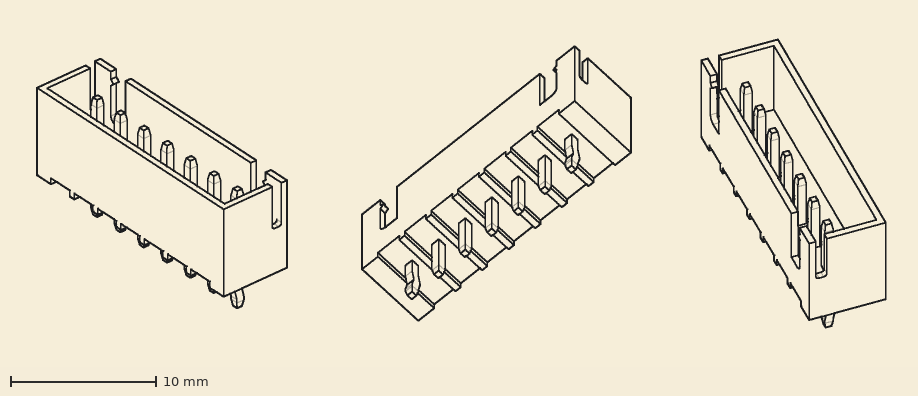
import cadquery as cq


length = 20
depth = 5.7
height = 7.2
wall = 0.5
cavity_length = length - 2 * wall

low_floor = 1.2
high_floor = 1.98
step_foot = 2.42
step_run = 0.42

pin_count = 7
pitch = 2.5
pin_width = 0.65
pin_tip_width = 0.45
pin_taper = 0.55
pin_top = height - 0.95
pin_bottom = -3.4
pin_setback = 2.35
pin_y = depth / 2 - pin_setback
pin_places = [(i - (pin_count - 1) / 2) * pitch for i in range(pin_count)]

kink_offset = 0.18
kink_top = -0.85
kink_peak = -1.82
kink_bottom = -2.6

notch_width = 2
notch_height = 0.5

end_slot_width = 0.82
end_slot_depth = 3.5
end_slot_radius = 0.25

post_width = 1.72
back_gap_width = 1.55
back_gap_depth = 4.1
back_gap_radius = 0.48

tooth_reach = 0.3
tooth_half_height = 0.25
tooth_drop = 0.9


def box(x_range, y_range, z_range):
    """Box between the given limits along each axis."""
    sizes = [high - low for low, high in (x_range, y_range, z_range)]
    corner = (x_range[0], y_range[0], z_range[0])
    return cq.Workplane("XY").box(*sizes, centered=False).translate(corner)


def make_cavity():
    """Open cavity with the sloped step in its floor."""
    front = -depth / 2 + wall
    back = depth / 2 - wall
    foot = -depth / 2 + step_foot
    return (
        cq.Workplane("YZ", origin=(-cavity_length / 2, 0, 0))
        .moveTo(front, height)
        .lineTo(front, low_floor)
        .lineTo(foot, low_floor)
        .lineTo(foot + step_run, high_floor)
        .lineTo(back, high_floor)
        .lineTo(back, height)
        .close()
        .extrude(cavity_length)
    )


def make_end_slots():
    """One cut along X that slots both end walls."""
    back = depth / 2 - wall
    slot = box(
        (-length / 2, length / 2),
        (back - end_slot_width, back),
        (height - end_slot_depth, height),
    )
    return slot.edges("|X and <Z").fillet(end_slot_radius)


def make_back_gap():
    """Left gap in the back wall, rounded at the foot of the latch post."""
    start = -length / 2 + post_width
    gap = box(
        (start, start + back_gap_width),
        (depth / 2 - wall, depth / 2),
        (height - back_gap_depth, height),
    )
    return gap.edges("|Y and <Z and <X").fillet(back_gap_radius)


def make_tooth():
    """Left snap tooth, a triangular prism as thick as the back wall."""
    root = -length / 2 + post_width
    crest = height - tooth_drop
    return (
        cq.Workplane("XZ", origin=(0, depth / 2, 0))
        .moveTo(root, crest + tooth_half_height)
        .lineTo(root + tooth_reach, crest)
        .lineTo(root, crest - tooth_half_height)
        .close()
        .extrude(wall)
    )


def make_housing():
    housing = box((-length / 2, length / 2), (-depth / 2, depth / 2), (0, height))
    housing = housing.cut(make_cavity()).cut(make_end_slots())
    for x in pin_places:
        housing = housing.cut(
            box(
                (x - notch_width / 2, x + notch_width / 2),
                (-depth / 2, depth / 2),
                (0, notch_height),
            )
        )
    gap = make_back_gap()
    tooth = make_tooth()
    housing = housing.cut(gap).cut(gap.mirror("YZ"))
    return housing.union(tooth).union(tooth.mirror("YZ"))


def make_pin_tip(x, z, direction):
    """Tapered square tip starting at height z and pointing along direction."""
    return (
        cq.Workplane("XY", origin=(x, pin_y, z))
        .rect(pin_width, pin_width)
        .workplane(offset=direction * pin_taper)
        .rect(pin_tip_width, pin_tip_width)
        .loft(ruled=True)
    )


def make_pin(x, offset):
    """Square pin whose tail jogs forward by offset and returns."""
    front = pin_y - pin_width / 2
    back = pin_y + pin_width / 2
    shank_top = pin_top - pin_taper
    shank_bottom = pin_bottom + pin_taper
    shank = cq.Workplane("YZ", origin=(x - pin_width / 2, 0, 0)).moveTo(front, shank_top)
    if offset:
        shank = shank.lineTo(front, kink_top).lineTo(front - offset, kink_peak).lineTo(front, kink_bottom)
    shank = shank.lineTo(front, shank_bottom).lineTo(back, shank_bottom)
    if offset:
        shank = shank.lineTo(back, kink_bottom).lineTo(back - offset, kink_peak).lineTo(back, kink_top)
    shank = shank.lineTo(back, shank_top).close().extrude(pin_width)
    return shank.union(make_pin_tip(x, shank_top, 1)).union(make_pin_tip(x, shank_bottom, -1))


result = make_housing()
for place in pin_places:
    is_end_pin = place in (pin_places[0], pin_places[-1])
    result = result.union(make_pin(place, kink_offset if is_end_pin else 0))